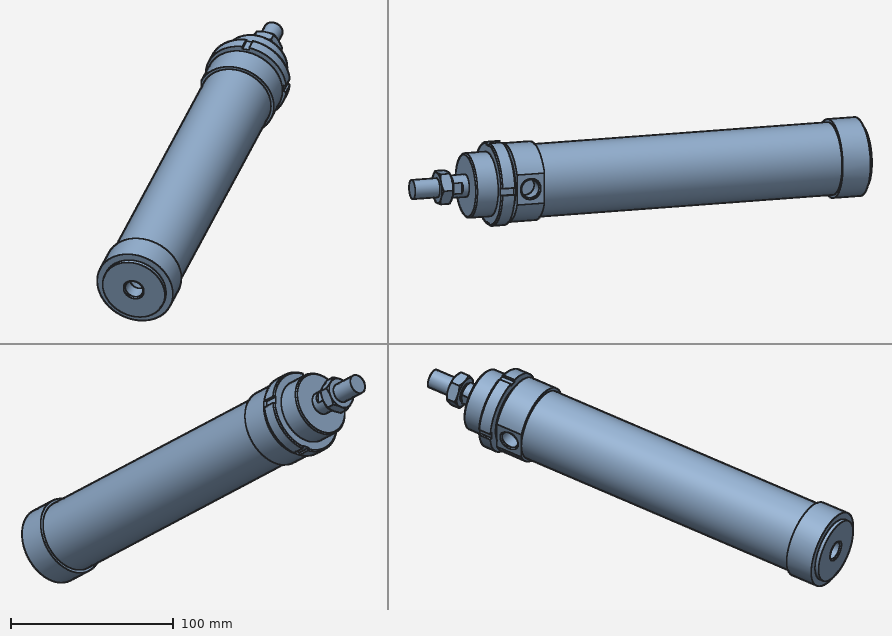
import cadquery as cq
import math


rod_tip_y = 292.0
spigot_length = 2.5
cap_length = 17.8
tube_length = 193.3
collar_length = 25.7

rear_cap_y = spigot_length
tube_y = rear_cap_y + cap_length
front_cap_y = tube_y + tube_length
collar_y = front_cap_y + cap_length
collar_face_y = collar_y + collar_length

collar_diameter = 40.0
collar_chamfer = 1.0
cap_diameter = 48.8
tube_diameter = 45.0
port_diameter = 11.5
port_chamfer = 1.0
port_mouth_radius = port_diameter / 2 + port_chamfer
port_depth = 10.2
drill_point_angle = 118.0

ring_nut_gap = 2.5
ring_nut_length = 8.8
ring_nut_diameter = 52.0
ring_nut_chamfer = 1.0
notch_width = 4.5
notch_depth = 1.8
notch_count = 4

shank_diameter = 14.0
shank_length = 10.0
neck_diameter = 10.5
neck_length = 1.5
thread_diameter = 12.0
flat_across = 12.3
flat_length = 5.3

neck_y = collar_face_y + shank_length
thread_y = neck_y + neck_length

hex_sides = 6
hex_across_flats = 19.0
hex_length = 7.3
hex_chamfer_angle = 30.0


def cylinder(diameter, start_y, length):
    """Cylinder on the Y axis that grows toward +Y from start_y."""
    return (
        cq.Workplane("XZ", origin=(0, start_y, 0))
        .circle(diameter / 2)
        .extrude(-length)
    )


def turned(profile):
    """Solid of revolution about the Y axis from (radius, y) points."""
    return cq.Workplane("XY").polyline(profile).close().revolve(360, (0, 0, 0), (0, 1, 0))


def make_rear_port():
    """Blind hole in the rear face with a chamfered mouth and a conical drill point."""
    radius = port_diameter / 2
    point_length = radius / math.tan(math.radians(drill_point_angle / 2))
    return turned([
        (0, 0),
        (port_mouth_radius, 0),
        (radius, port_chamfer),
        (radius, port_depth),
        (0, port_depth + point_length),
    ])


def make_side_port():
    """Flat across the -X side of the front cap with a chamfered, flat-bottomed hole in it."""
    flat_x = -tube_diameter / 2
    middle_y = front_cap_y + cap_length / 2
    flat_cut = (
        cq.Workplane("XY")
        .box(cap_diameter, cap_length, cap_diameter)
        .translate((flat_x - cap_diameter / 2, middle_y, 0))
    )
    hole = (
        cq.Workplane("YZ", origin=(flat_x, middle_y, 0))
        .circle(port_diameter / 2)
        .extrude(port_depth)
    )
    mouth = cq.Workplane(cq.Solid.makeCone(
        port_mouth_radius,
        port_diameter / 2,
        port_chamfer,
        pnt=cq.Vector(flat_x, middle_y, 0),
        dir=cq.Vector(1, 0, 0),
    ))
    return flat_cut.union(hole).union(mouth)


def make_housing():
    """Tube with both end caps, the rear spigot and the front collar."""
    collar = (
        cylinder(collar_diameter, collar_y, collar_length)
        .faces(">Y")
        .chamfer(collar_chamfer)
    )
    return (
        cylinder(collar_diameter, 0, spigot_length)
        .union(cylinder(cap_diameter, rear_cap_y, cap_length))
        .union(cylinder(tube_diameter, tube_y, tube_length))
        .union(cylinder(cap_diameter, front_cap_y, cap_length))
        .union(collar)
        .cut(make_rear_port())
        .cut(make_side_port())
    )


def make_ring_nut():
    """Round nut on the collar with spanner notches around its rim."""
    start_y = collar_y + ring_nut_gap
    nut = (
        cylinder(ring_nut_diameter, start_y, ring_nut_length)
        .faces(">Y")
        .chamfer(ring_nut_chamfer)
        .cut(cylinder(collar_diameter, start_y, ring_nut_length))
    )
    notch = (
        cq.Workplane("XY")
        .box(notch_width, ring_nut_length, 2 * notch_depth)
        .translate((0, start_y + ring_nut_length / 2, ring_nut_diameter / 2))
    )
    for index in range(notch_count):
        nut = nut.cut(notch.rotate((0, 0, 0), (0, 1, 0), index * 360 / notch_count))
    return nut


def make_flat_cutter():
    """Cutter for the +X wrench flat, running out of the shank on a 45 degree ramp."""
    flat_x = flat_across / 2
    outer_x = shank_diameter
    ramp_y = neck_y - flat_length
    return (
        cq.Workplane("XY")
        .polyline([
            (flat_x, neck_y),
            (flat_x, ramp_y),
            (outer_x, ramp_y - (outer_x - flat_x)),
            (outer_x, neck_y),
        ])
        .close()
        .extrude(shank_diameter / 2, both=True)
    )


def make_rod():
    """Rod end standing on the collar face: flatted shank, neck and thread."""
    flat_cutter = make_flat_cutter()
    return (
        cylinder(shank_diameter, collar_face_y, shank_length)
        .cut(flat_cutter)
        .cut(flat_cutter.mirror("YZ"))
        .union(cylinder(neck_diameter, neck_y, neck_length))
        .union(cylinder(thread_diameter, thread_y, rod_tip_y - thread_y))
    )


def make_hex_nut():
    """Hexagon nut with corners on +X and -X and its corners bevelled at both ends."""
    corner_radius = hex_across_flats / 2 / math.cos(math.pi / hex_sides)
    flat_radius = hex_across_flats / 2
    bevel = (corner_radius - flat_radius) * math.tan(math.radians(hex_chamfer_angle))
    end_y = thread_y + hex_length
    prism = (
        cq.Workplane("XZ", origin=(0, thread_y, 0))
        .polygon(hex_sides, 2 * corner_radius)
        .extrude(-hex_length)
    )
    bevel_envelope = turned([
        (0, thread_y),
        (flat_radius, thread_y),
        (corner_radius, thread_y + bevel),
        (corner_radius, end_y - bevel),
        (flat_radius, end_y),
        (0, end_y),
    ])
    bore = cylinder(thread_diameter, thread_y, hex_length)
    return prism.intersect(bevel_envelope).cut(bore)


housing = make_housing()
ring_nut = make_ring_nut()
rod = make_rod()
hex_nut = make_hex_nut()

result = cq.Compound.makeCompound([
    housing.val(),
    ring_nut.val(),
    rod.val(),
    hex_nut.val(),
])